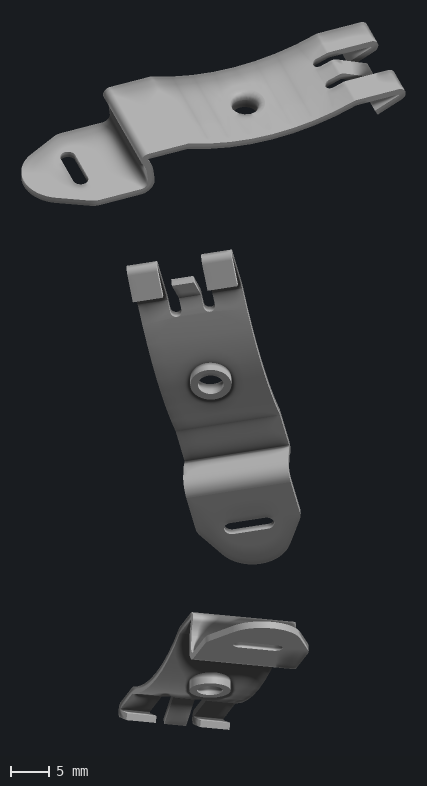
import cadquery as cq
import math

width = 14.0
length = 51.0
height = 6.85
thickness = 0.9
back_end = 19.95
front_end = back_end - length

fold_radius = 0.55
fold_outer = fold_radius + thickness / 2

saddle_y = 1.15
saddle_radius = 32.65
saddle_angle = 20.9

hook_angle = 25.5
hook_leg = 3.7
tongue_slope = 26.0
tongue_end = 17.8
tongue_width = 2.95
slit_width = 1.55
slit_bottom = 10.5

front_fold_y = -16.2
neck_lean = 34.0
neck_radius = 4.25
wall_lean = 6.0
foot_radius = 1.5
taper_start = -23.7
taper_corner_radius = 2.55
nose_radius = 5.15
foot_slot_length = 6.7
foot_slot_width = 2.05
foot_slot_y = -23.95

boss_diameter = 5.4
boss_bottom = 2.4
hole_diameter = 3.35
hole_entry_radius = 1.0


def offset(point, heading, distance):
    """Point moved to the left of a heading (degrees) in the YZ plane."""
    a = math.radians(heading)
    return (point[0] - distance * math.sin(a), point[1] + distance * math.cos(a))


def sheet_strip(start, heading, steps, strip_width, x_centre=0.0):
    """Extrude a bent strip along a mid-line of ("line", length) and ("bend", radius, angle) steps.

    Positive bends turn left. Y is the first profile coordinate and Z the second.
    """
    states = [(start, heading)]
    middles = []
    point = start
    for step in steps:
        if step[0] == "line":
            point = offset(point, heading - 90, step[1])
            middles.append(None)
        else:
            radius, turn = step[1:]
            side = math.copysign(radius, turn)
            centre = offset(point, heading, side)
            middle_heading = heading + turn / 2
            middles.append((offset(centre, middle_heading, -side), middle_heading))
            heading += turn
            point = offset(centre, heading, -side)
        states.append((point, heading))

    half = thickness / 2
    profile = cq.Workplane("YZ").moveTo(*offset(*states[0], half))
    for end, middle in zip(states[1:], middles):
        if middle is None:
            profile = profile.lineTo(*offset(*end, half))
        else:
            profile = profile.threePointArc(offset(*middle, half), offset(*end, half))
    profile = profile.lineTo(*offset(*states[-1], -half))
    for end, middle in zip(reversed(states[:-1]), reversed(middles)):
        if middle is None:
            profile = profile.lineTo(*offset(*end, -half))
        else:
            profile = profile.threePointArc(offset(*middle, -half), offset(*end, -half))
    return profile.close().extrude(strip_width / 2, both=True).translate((x_centre, 0, 0))


saddle_rad = math.radians(saddle_angle)
saddle_reach = saddle_radius * math.sin(saddle_rad)
fold_reach = fold_radius * math.sin(saddle_rad)
flat_z = height - thickness / 2
saddle_end_z = flat_z - fold_radius * (1 - math.cos(saddle_rad))
saddle_end = (saddle_y + saddle_reach, saddle_end_z)
saddle_low_z = saddle_end_z - saddle_radius * (1 - math.cos(saddle_rad))


def make_body():
    """Saddle, front flat, S-shaped step and foot, running toward -Y."""
    front_flat = saddle_y - saddle_reach - fold_reach - front_fold_y
    lean = math.radians(neck_lean)
    wall_rad = math.radians(wall_lean)
    front_turn = 90 + neck_lean
    fold_drop = fold_radius * (1 + math.sin(lean))
    neck_drop = neck_radius * (math.sin(lean) - math.sin(wall_rad))
    foot_drop = foot_radius * (1 + math.sin(wall_rad))
    wall_drop = flat_z - thickness / 2 - fold_drop - neck_drop - foot_drop
    neck_reach = neck_radius * (math.cos(wall_rad) - math.cos(lean))
    wall_top_y = front_fold_y - fold_radius * math.cos(lean) + neck_reach
    wall_bottom_y = wall_top_y + wall_drop * math.tan(wall_rad)
    foot_length = wall_bottom_y - foot_radius * math.cos(wall_rad) - front_end
    steps = [
        ("bend", saddle_radius, -2 * saddle_angle),
        ("bend", fold_radius, saddle_angle),
        ("line", front_flat),
        ("bend", fold_radius, front_turn),
        ("bend", neck_radius, wall_lean - neck_lean),
        ("line", wall_drop / math.cos(wall_rad)),
        ("bend", foot_radius, -90 - wall_lean),
        ("line", foot_length),
    ]
    return sheet_strip(saddle_end, 180 + saddle_angle, steps, width)


def make_hooks():
    """Two folded-back hooks beside the tongue."""
    flat = back_end - fold_outer - saddle_end[0] - fold_reach
    steps = [
        ("bend", fold_radius, -saddle_angle),
        ("line", flat),
        ("bend", fold_radius, hook_angle - 180),
        ("line", hook_leg),
    ]
    inner_edge = tongue_width / 2 + slit_width
    hook_width = width / 2 - inner_edge
    hook_x = inner_edge + hook_width / 2
    left, right = [sheet_strip(saddle_end, saddle_angle, steps, hook_width, x) for x in (-hook_x, hook_x)]
    return left.union(right)


def make_tongue():
    """Central tongue bent down from the end of the saddle."""
    slope = math.radians(tongue_slope)
    bend_end = saddle_end[0] + fold_reach + fold_radius * math.sin(slope)
    corner_reach = thickness / 2 * math.sin(slope)
    straight = (tongue_end - corner_reach - bend_end) / math.cos(slope)
    steps = [
        ("bend", fold_radius, -saddle_angle - tongue_slope),
        ("line", straight),
    ]
    return sheet_strip(saddle_end, saddle_angle, steps, tongue_width)


def make_slits():
    """Round-ended slits that separate the tongue from the hooks."""
    slit_length = back_end - slit_bottom + slit_width
    slit_y = slit_bottom + slit_length / 2
    slit_x = (tongue_width + slit_width) / 2
    return (
        cq.Workplane("XY")
        .pushPoints([(-slit_x, slit_y), (slit_x, slit_y)])
        .slot2D(slit_length, slit_width, 90)
        .extrude(height)
    )


def make_outline():
    """Plan outline: straight sides, tapered foot and round nose tangent to the tapers."""
    nose_y = front_end + nose_radius
    corner_x = width / 2
    rise = taper_start - nose_y
    tangent = math.atan2(rise, corner_x) - math.acos(nose_radius / math.hypot(corner_x, rise))
    tangent_x = nose_radius * math.cos(tangent)
    tangent_y = nose_y + nose_radius * math.sin(tangent)
    return (
        cq.Workplane("XY")
        .moveTo(-corner_x, back_end)
        .lineTo(-corner_x, taper_start)
        .lineTo(-tangent_x, tangent_y)
        .threePointArc((0, front_end), (tangent_x, tangent_y))
        .lineTo(corner_x, taper_start)
        .lineTo(corner_x, back_end)
        .close()
        .extrude(height)
        .edges(cq.selectors.BoxSelector(
            (-width, taper_start - thickness, -height),
            (width, taper_start + thickness, 2 * height),
        ))
        .edges("|Z")
        .fillet(taper_corner_radius)
    )


def add_flanged_hole(sheet):
    """Collar under the saddle, drilled through, with a rounded entry on top."""
    collar = (
        cq.Workplane("XY", origin=(0, 0, boss_bottom))
        .circle(boss_diameter / 2)
        .extrude(saddle_low_z - boss_bottom)
    )
    bore = cq.Workplane("XY").circle(hole_diameter / 2).extrude(height)
    entry_zone = cq.selectors.BoxSelector(
        (-hole_diameter, -hole_diameter, saddle_low_z),
        (hole_diameter, hole_diameter, height),
    )
    return sheet.union(collar).cut(bore).edges(entry_zone).edges("not #Z").fillet(hole_entry_radius)


foot_slot = (
    cq.Workplane("XY")
    .center(0, foot_slot_y)
    .slot2D(foot_slot_length, foot_slot_width)
    .extrude(thickness)
)

strip = make_body().union(make_hooks()).union(make_tongue())
strip = strip.intersect(make_outline()).cut(make_slits()).cut(foot_slot)
result = add_flanged_hole(strip)